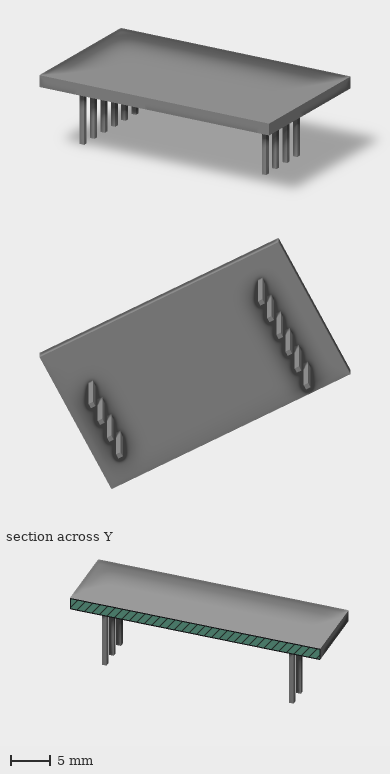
import cadquery as cq

board_length = 34.0
board_width = 20.0
board_thickness = 1.6

pin_side = 0.65
pin_length = 8.0
row_spacing = 25.4
pitches_between_rows = 10
pin_pitch = row_spacing / pitches_between_rows
left_pin_count = 6
right_pin_count = 4


def make_board():
    """Flat plate standing on the Z = 0 plane."""
    return cq.Workplane("XY").box(
        board_length, board_width, board_thickness, centered=(True, True, False)
    )


def make_pin_row(row_x, pin_count):
    """Row of pins centred on the X axis, hanging from the underside of the board."""
    return (
        cq.Workplane("XY")
        .center(row_x, 0)
        .rarray(pin_pitch, pin_pitch, 1, pin_count)
        .rect(pin_side, pin_side)
        .extrude(-pin_length)
    )


left_row = make_pin_row(-row_spacing / 2, left_pin_count)
right_row = make_pin_row(row_spacing / 2, right_pin_count)

result = make_board().union(left_row).union(right_row)